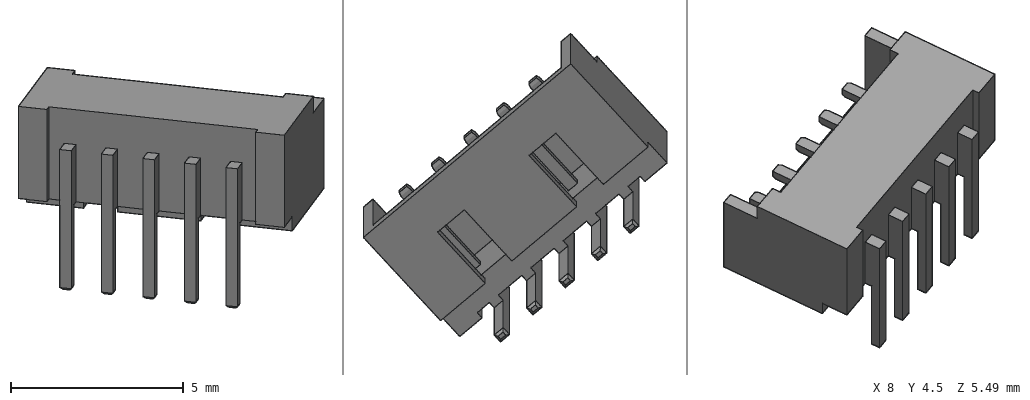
import cadquery as cq


body_width = 8.0
body_depth = 4.22
body_height = 3.33
front_recess_width = 6.28
front_recess_depth = 0.21
step_depth = 0.84
step_height = 0.445

side_wall = 0.37
floor_thickness = 0.40
roof_thickness = 0.52
cavity_front = 1.0

ear_length = 1.15
roof_notch_width = 6.34
roof_notch_depth = 0.28

slot_outer = 2.28
slot_inner = 1.25
slot_back = 2.92

pin_count = 5
pin_pitch = 1.25
pin_width = 0.35
pin_thickness = 0.28
pin_top = 2.24
pin_bottom = -2.16
contact_height = (floor_thickness + body_height - roof_thickness) / 2
pin_end_gap = 0.03
leg_tip_chamfer = 0.08
contact_tip_length = 0.12
contact_tip_inset = 0.03


def block(x_range, y_range, z_range):
    """Box filling the given (low, high) range on each axis."""
    size = [high - low for low, high in (x_range, y_range, z_range)]
    corner = (x_range[0], y_range[0], z_range[0])
    return cq.Workplane("XY").box(*size, centered=False).translate(corner)


def centred(width):
    """X range of the given width about the middle."""
    return (-width / 2, width / 2)


def make_housing():
    roof_end = body_depth - ear_length
    roof_bottom = body_height - roof_thickness
    full_width = centred(body_width)

    housing = block(full_width, (0, body_depth), (0, body_height))
    housing = housing.cut(block(full_width, (0, step_depth), (0, step_height)))
    housing = housing.cut(block(full_width, (roof_end, body_depth), (roof_bottom, body_height)))
    housing = housing.cut(
        block(centred(front_recess_width), (0, front_recess_depth), (0, body_height))
    )
    housing = housing.cut(
        block(
            centred(body_width - 2 * side_wall),
            (cavity_front, body_depth),
            (floor_thickness, roof_bottom),
        )
    )
    housing = housing.cut(
        block(
            centred(roof_notch_width),
            (roof_end - roof_notch_depth, roof_end),
            (roof_bottom, body_height),
        )
    )
    for slot_range in ((-slot_outer, -slot_inner), (slot_inner, slot_outer)):
        housing = housing.cut(block(slot_range, (step_depth, slot_back), (0, step_height)))
    return housing


def make_pin(x):
    """Bent pin centred on x: vertical leg, filled corner and horizontal contact."""
    x_range = (x - pin_width / 2, x + pin_width / 2)
    leg = block(x_range, (-pin_thickness, 0), (pin_bottom, pin_top))
    leg = leg.faces("<Z").chamfer(leg_tip_chamfer)
    corner = block(x_range, (0, cavity_front), (step_height, pin_top))

    tip_start = body_depth - pin_end_gap - contact_tip_length
    contact_range = (contact_height - pin_thickness / 2, contact_height + pin_thickness / 2)
    contact = block(x_range, (0, tip_start), contact_range)
    tip = (
        cq.Workplane("XZ", origin=(x, tip_start, contact_height))
        .rect(pin_width, pin_thickness)
        .workplane(offset=-contact_tip_length)
        .rect(pin_width - 2 * contact_tip_inset, pin_thickness - 2 * contact_tip_inset)
        .loft(ruled=True)
    )
    return leg.union(corner).union(contact).union(tip)


result = make_housing()
for index in range(pin_count):
    result = result.union(make_pin((index - (pin_count - 1) / 2) * pin_pitch))